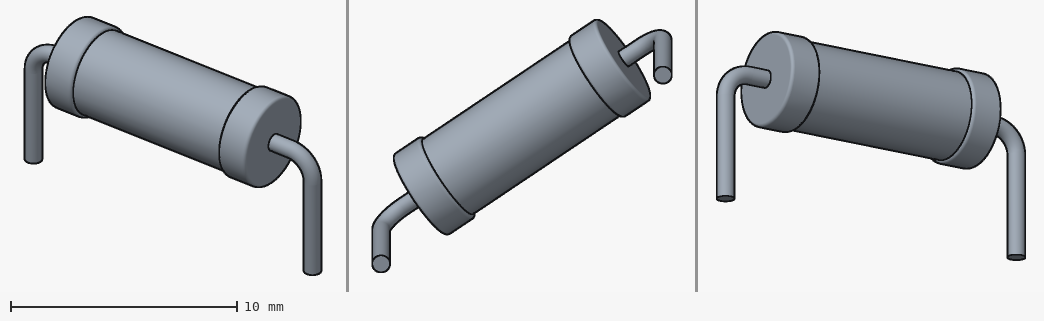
import cadquery as cq

body_length = 11.0
body_diameter = 4.0

cap_length = 1.5
cap_diameter = 4.3
cap_edge_radius = 0.15

lead_diameter = 0.8
lead_pitch = 15.24
bend_radius = 1.2
lead_drop = 5.95

core_length = body_length - 2 * cap_length
core_end = core_length / 2
body_end = body_length / 2


def make_core():
    """Plain cylinder between the two caps."""
    return cq.Workplane("YZ", origin=(-core_end, 0, 0)).circle(body_diameter / 2).extrude(core_length)


def make_cap(side):
    """Disc at one end of the core with both rims rounded; side is -1 or +1 along X."""
    disc = cq.Workplane("YZ", origin=(side * core_end, 0, 0)).circle(cap_diameter / 2)
    return disc.extrude(side * cap_length).edges().fillet(cap_edge_radius)


def make_lead(side):
    """Round wire leaving the cap face along X and bending down to the tip."""
    lead_x = lead_pitch / 2
    bend_start = lead_x - bend_radius
    path = (
        cq.Workplane("XZ")
        .moveTo(side * body_end, 0)
        .lineTo(side * bend_start, 0)
        .tangentArcPoint((side * lead_x, -bend_radius), relative=False)
        .lineTo(side * lead_x, -lead_drop)
    )
    return cq.Workplane("YZ", origin=(side * body_end, 0, 0)).circle(lead_diameter / 2).sweep(path)


core = make_core()
caps = [make_cap(side) for side in (-1, 1)]
leads = [make_lead(side) for side in (-1, 1)]

result = cq.Compound.makeCompound([core.val(), *[cap.val() for cap in caps], *[lead.val() for lead in leads]])